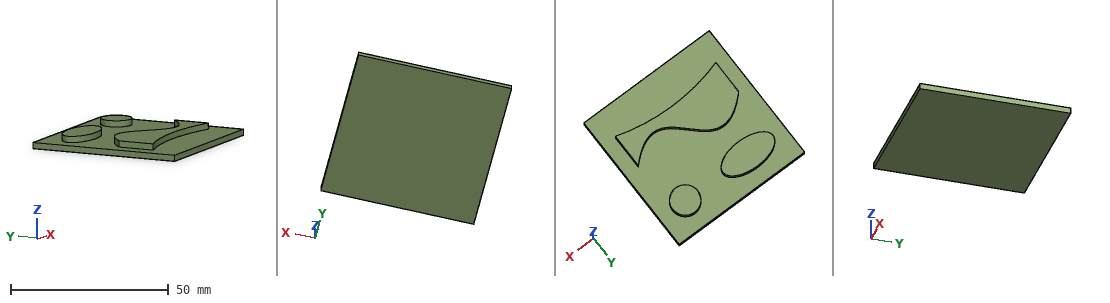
import cadquery as cq

plate_side = 50
plate_thickness = 2
boss_height = 2

boss_row_y = 15
disc_x = 15
disc_diameter = 10
ellipse_x = -10
ellipse_half_length = 10
ellipse_half_width = 5

wave_half_length = 20
wave_top_y = -3
wave_bottom_y = -15
arch_rise = 3
wave_control_offset = 20


def on_plate():
    return cq.Workplane("XY").workplane(offset=plate_thickness)


def disc_boss():
    return on_plate().center(disc_x, boss_row_y).circle(disc_diameter / 2).extrude(boss_height)


def ellipse_boss():
    outline = on_plate().center(ellipse_x, boss_row_y).ellipse(ellipse_half_length, ellipse_half_width)
    return outline.extrude(boss_height)


def wave_boss():
    upper_edge = [
        (-wave_half_length, wave_top_y),
        (0, wave_top_y + wave_control_offset),
        (0, wave_top_y - wave_control_offset),
        (wave_half_length, wave_top_y),
    ]
    return (
        on_plate()
        .moveTo(*upper_edge[0])
        .bezier(upper_edge)
        .lineTo(wave_half_length, wave_bottom_y)
        .threePointArc((0, wave_bottom_y + arch_rise), (-wave_half_length, wave_bottom_y))
        .close()
        .extrude(boss_height)
    )


plate = cq.Workplane("XY").box(plate_side, plate_side, plate_thickness, centered=(True, True, False))
result = plate.union(disc_boss()).union(ellipse_boss()).union(wave_boss())